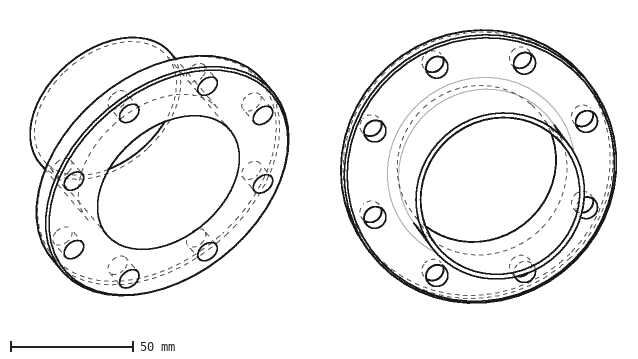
import cadquery as cq

flange_diameter = 113.0
flange_thickness = 10.1
flange_chamfer = 1.0
total_length = 54.0
pipe_diameter = 70.0
bore_diameter = 66.0
neck_fillet = 4.0
bolt_count = 8
bolt_circle_diameter = 95.0
bolt_hole_diameter = 9.0

pipe_length = total_length - flange_thickness
first_bolt_angle = 180.0 / bolt_count


def make_flange():
    """Chamfered disc whose pipe-side face lies at X = pipe_length."""
    disc = cq.Workplane("YZ", origin=(pipe_length, 0, 0))
    disc = disc.circle(flange_diameter / 2).extrude(flange_thickness)
    return disc.edges().chamfer(flange_chamfer)


def make_neck():
    """Pipe with a concave fillet flaring onto the flange face, as a revolved profile."""
    pipe_radius = pipe_diameter / 2
    return (
        cq.Workplane("XY")
        .lineTo(0, pipe_radius)
        .lineTo(pipe_length - neck_fillet, pipe_radius)
        .radiusArc((pipe_length, pipe_radius + neck_fillet), -neck_fillet)
        .lineTo(total_length - flange_chamfer, pipe_radius + neck_fillet)
        .lineTo(total_length - flange_chamfer, 0)
        .close()
        .revolve(360, (0, 0, 0), (1, 0, 0))
    )


def make_bore():
    return cq.Workplane("YZ").circle(bore_diameter / 2).extrude(total_length)


def make_bolt_holes():
    return (
        cq.Workplane("YZ", origin=(pipe_length, 0, 0))
        .polarArray(bolt_circle_diameter / 2, first_bolt_angle, 360, bolt_count)
        .circle(bolt_hole_diameter / 2)
        .extrude(flange_thickness)
    )


result = make_flange().union(make_neck()).cut(make_bore()).cut(make_bolt_holes())